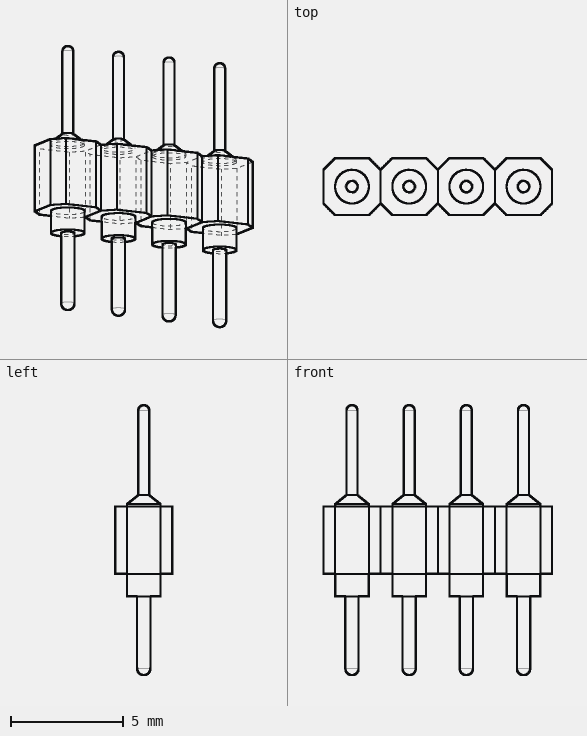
import cadquery as cq
import math

position_count = 4
pitch = 2.54

block_height = 3.0
block_flat = 1.5
block_corner = (pitch - block_flat) / 2

collar_radius = 1.5 / 2
collar_length = 1.0
lower_pin_radius = 0.6 / 2
upper_pin_radius = 0.5 / 2
lower_pin_length = 3.5
upper_pin_length = 4.5
shoulder_height = 0.5
shoulder_rim = 0.1

collar_bottom = -collar_length
bottom_tip = collar_bottom - lower_pin_length
lower_dome_start = bottom_tip + lower_pin_radius
rim_top = block_height + shoulder_rim
shoulder_top = block_height + shoulder_height
top_tip = block_height + upper_pin_length
upper_dome_start = top_tip - upper_pin_radius


def make_block():
    """Square block with its four upright edges chamfered."""
    return (
        cq.Workplane("XY")
        .rect(pitch, pitch)
        .extrude(block_height)
        .edges("|Z")
        .chamfer(block_corner)
    )


def make_contact():
    """Contact turned about Z: round-ended pins, collar and conical shoulder."""
    dome_diagonal = math.sqrt(0.5)
    lower_dome_middle = (
        lower_pin_radius * dome_diagonal,
        lower_dome_start - lower_pin_radius * dome_diagonal,
    )
    upper_dome_middle = (
        upper_pin_radius * dome_diagonal,
        upper_dome_start + upper_pin_radius * dome_diagonal,
    )
    return (
        cq.Workplane("XZ")
        .moveTo(0, bottom_tip)
        .threePointArc(lower_dome_middle, (lower_pin_radius, lower_dome_start))
        .lineTo(lower_pin_radius, collar_bottom)
        .lineTo(collar_radius, collar_bottom)
        .lineTo(collar_radius, rim_top)
        .lineTo(upper_pin_radius, shoulder_top)
        .lineTo(upper_pin_radius, upper_dome_start)
        .threePointArc(upper_dome_middle, (0, top_tip))
        .close()
        .revolve(360, (0, 0), (0, 1))
    )


def make_position(x):
    """One position of the strip: block and contact as a single solid."""
    return make_block().union(make_contact()).translate((x, 0, 0))


first_x = -pitch * (position_count - 1) / 2
positions = [make_position(first_x + index * pitch) for index in range(position_count)]

result = cq.Compound.makeCompound([position.val() for position in positions])